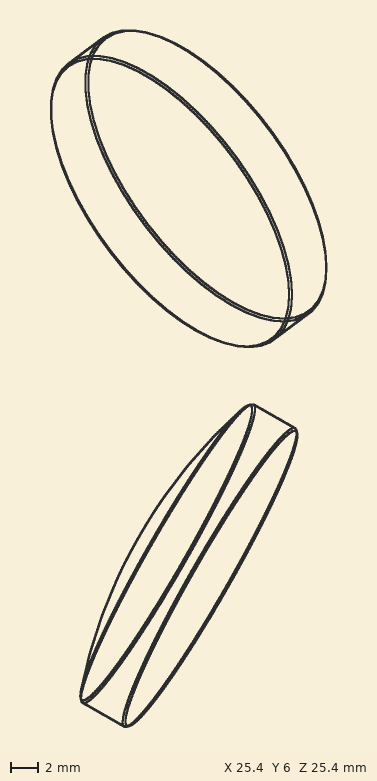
import cadquery as cq

diameter = 25.4
center_thickness = 6.0
dome_height = 2.13
chamfer = 0.15

rim_radius = diameter / 2
face_radius = rim_radius - chamfer
rim_thickness = center_thickness - dome_height
sphere_radius = (face_radius**2 + dome_height**2) / (2 * dome_height)

mid_radius = face_radius / 2
mid_y = -center_thickness + sphere_radius - (sphere_radius**2 - mid_radius**2) ** 0.5

half_section = (
    cq.Workplane("XY")
    .lineTo(face_radius, 0)
    .lineTo(rim_radius, -chamfer)
    .lineTo(rim_radius, chamfer - rim_thickness)
    .lineTo(face_radius, -rim_thickness)
    .threePointArc((mid_radius, mid_y), (0, -center_thickness))
    .close()
)

result = half_section.revolve(360, (0, 0, 0), (0, 1, 0))